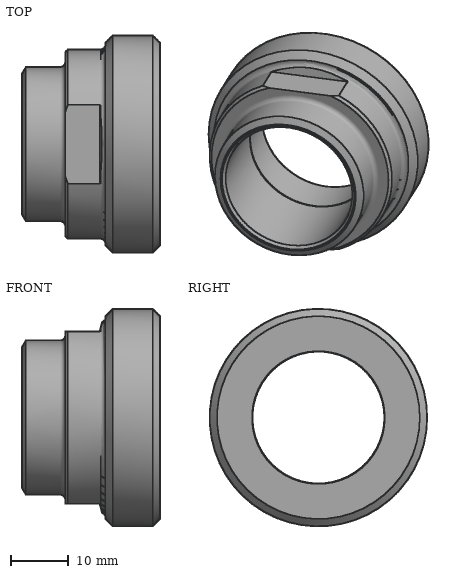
import cadquery as cq
import math

TOTAL_LENGTH = 24.0
COLLAR_START = 7.5
FLANGE_START = 14.5

SPIGOT_DIAMETER = 26.9
COLLAR_DIAMETER = 33.0
FLANGE_DIAMETER = 37.85

SPIGOT_CHAMFER_LENGTH = 0.7
SPIGOT_CHAMFER_ANGLE = 60.0
SPIGOT_CHAMFER_DEPTH = SPIGOT_CHAMFER_LENGTH * math.tan(math.radians(SPIGOT_CHAMFER_ANGLE))
COLLAR_CHAMFER = 0.5
FLANGE_CHAMFER = 1.3
ROOT_FILLET = 0.8

SPIGOT_BORE_DIAMETER = 22.9
FLANGE_BORE_DIAMETER = 23.1
BORE_STEP = 16.1
BORE_CHAMFER = 0.5

ACROSS_FLATS = 30.0
FLAT_END = 13.5
FLAT_WALL_ANGLE = 15.0


def concave_fillet(profile, x, radius):
    """Quarter arc rising from a cylinder to the shoulder at x, tangent to both."""
    corner_gap = ROOT_FILLET * (1 - math.sqrt(0.5))
    middle = (x - corner_gap, radius + corner_gap)
    return profile.threePointArc(middle, (x, radius + ROOT_FILLET))


def turned_body():
    """Solid of revolution about X: spigot, collar and flange."""
    spigot_radius = SPIGOT_DIAMETER / 2
    collar_radius = COLLAR_DIAMETER / 2
    flange_radius = FLANGE_DIAMETER / 2

    profile = cq.Workplane("XY").moveTo(0, 0)
    profile = profile.lineTo(0, spigot_radius - SPIGOT_CHAMFER_DEPTH)
    profile = profile.lineTo(SPIGOT_CHAMFER_LENGTH, spigot_radius)
    profile = profile.lineTo(COLLAR_START - ROOT_FILLET, spigot_radius)
    profile = concave_fillet(profile, COLLAR_START, spigot_radius)
    profile = profile.lineTo(COLLAR_START, collar_radius - COLLAR_CHAMFER)
    profile = profile.lineTo(COLLAR_START + COLLAR_CHAMFER, collar_radius)
    profile = profile.lineTo(FLANGE_START - ROOT_FILLET, collar_radius)
    profile = concave_fillet(profile, FLANGE_START, collar_radius)
    profile = profile.lineTo(FLANGE_START, flange_radius - FLANGE_CHAMFER)
    profile = profile.lineTo(FLANGE_START + FLANGE_CHAMFER, flange_radius)
    profile = profile.lineTo(TOTAL_LENGTH - FLANGE_CHAMFER, flange_radius)
    profile = profile.lineTo(TOTAL_LENGTH, flange_radius - FLANGE_CHAMFER)
    profile = profile.lineTo(TOTAL_LENGTH, 0).close()
    return profile.revolve(360, (0, 0, 0), (1, 0, 0))


def bore():
    """Through bore with an entry chamfer and a slightly wider flange end."""
    spigot_bore_radius = SPIGOT_BORE_DIAMETER / 2
    flange_bore_radius = FLANGE_BORE_DIAMETER / 2

    profile = cq.Workplane("XY").moveTo(0, 0)
    profile = profile.lineTo(0, spigot_bore_radius + BORE_CHAMFER)
    profile = profile.lineTo(BORE_CHAMFER, spigot_bore_radius)
    profile = profile.lineTo(BORE_STEP, spigot_bore_radius)
    profile = profile.lineTo(BORE_STEP, flange_bore_radius)
    profile = profile.lineTo(TOTAL_LENGTH, flange_bore_radius)
    profile = profile.lineTo(TOTAL_LENGTH, 0).close()
    return profile.revolve(360, (0, 0, 0), (1, 0, 0))


def flat_cutter(side):
    """Cutter for the flat facing +Z (side = 1) or -Z (side = -1), with a sloped end wall."""
    flat_height = ACROSS_FLATS / 2
    cutter_height = FLANGE_DIAMETER / 2
    wall_run = (cutter_height - flat_height) * math.tan(math.radians(FLAT_WALL_ANGLE))
    corners = [
        (COLLAR_START, side * flat_height),
        (FLAT_END, side * flat_height),
        (FLAT_END + wall_run, side * cutter_height),
        (COLLAR_START, side * cutter_height),
    ]
    return cq.Workplane("XZ").polyline(corners).close().extrude(COLLAR_DIAMETER / 2, both=True)


result = turned_body().cut(bore())
for flat_side in (1, -1):
    result = result.cut(flat_cutter(flat_side))